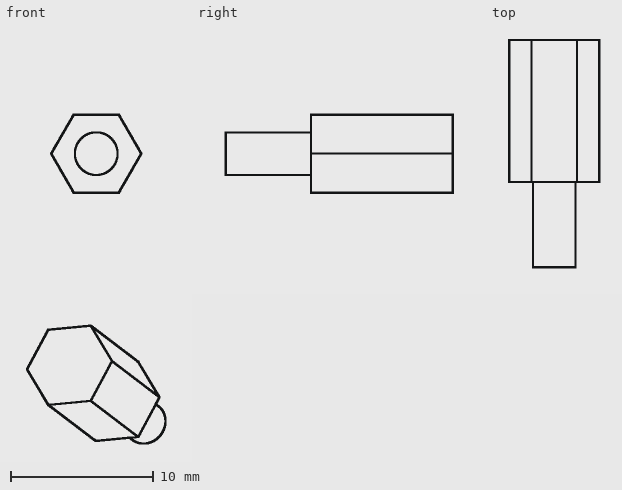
import cadquery as cq
import math

total_length = 16.0
body_length = 10.0
across_flats = 5.5
stud_diameter = 3.0

stud_length = total_length - body_length
across_corners = across_flats / math.cos(math.radians(30))


def hex_body():
    """Hexagonal prism along Y with corners on the X axis, starting at Y = 0."""
    return cq.Workplane("XZ").polygon(6, across_corners).extrude(-body_length)


def stud():
    """Round stud running from the body's end face toward -Y."""
    return cq.Workplane("XZ").circle(stud_diameter / 2).extrude(stud_length)


result = hex_body().union(stud())